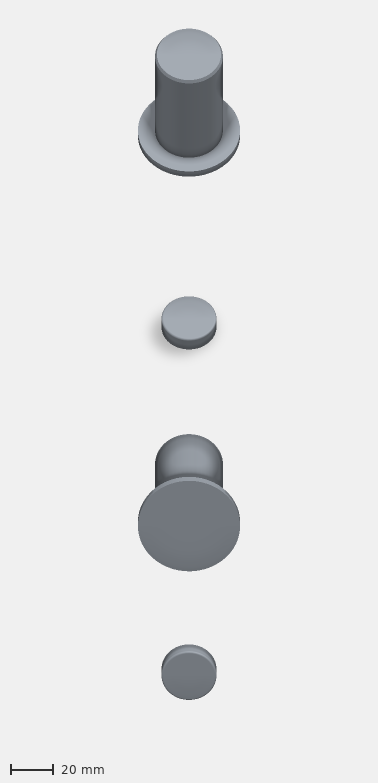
import cadquery as cq

TOTAL_HEIGHT = 215.5

PIN_HEIGHT = 64.0
PIN_RADIUS = 16.0
PIN_CHAMFER_HEIGHT = 1.5
PIN_CHAMFER_INSET = 0.9
FLANGE_DIAMETER = 48.0
FLANGE_THICKNESS = 4.0

BUTTON_RADIUS = 13.0
BUTTON_HEIGHT = 8.2
BUTTON_FILLET = 0.9


def make_flanged_pin():
    """Round pin with a flange at its foot, turned from its half section."""
    flange_radius = FLANGE_DIAMETER / 2
    flange_bottom = TOTAL_HEIGHT - PIN_HEIGHT
    flange_top = flange_bottom + FLANGE_THICKNESS
    half_section = [
        (0, flange_bottom),
        (flange_radius, flange_bottom),
        (flange_radius, flange_top),
        (PIN_RADIUS, flange_top),
        (PIN_RADIUS, TOTAL_HEIGHT - PIN_CHAMFER_HEIGHT),
        (PIN_RADIUS - PIN_CHAMFER_INSET, TOTAL_HEIGHT),
        (0, TOTAL_HEIGHT),
    ]
    return cq.Workplane("XZ").polyline(half_section).close().revolve(360, (0, 0), (0, 1))


def make_button():
    """Short disc with both rims rounded."""
    disc = cq.Workplane("XY").circle(BUTTON_RADIUS).extrude(BUTTON_HEIGHT)
    return disc.faces("<Z or >Z").edges().fillet(BUTTON_FILLET)


flanged_pin = make_flanged_pin()
button = make_button()

result = cq.Compound.makeCompound([flanged_pin.val(), button.val()])